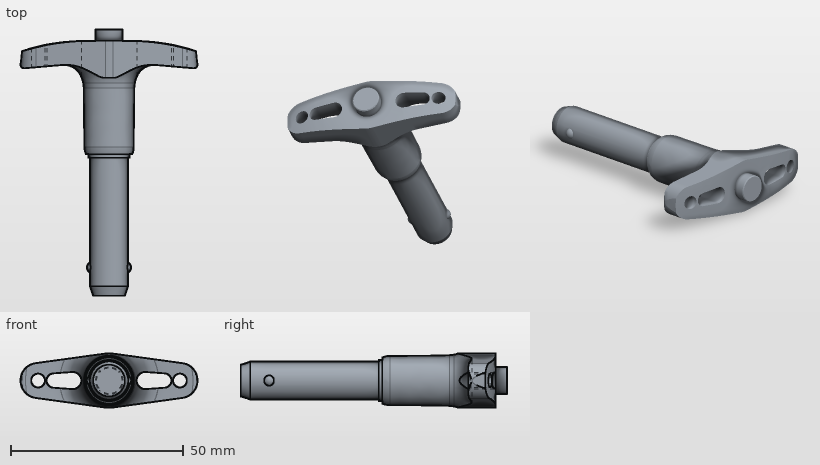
import cadquery as cq
import math


button_top = 37.3
button_radius = 3.97
button_chamfer = 0.25

handle_top = 33.9
hub_radius = 7.94
tip_radius = 5.13
tip_offset = 20.595
tip_reach = tip_offset + tip_radius
crown_flat_radius = 7.3
crown_rim_radius = 25.3
crown_rim_y = 30.9
underside_rim_radius = 24.3
underside_rim_y = 25.95
rim_round_y = 27.0
rim_mid_radius = 25.35
rim_mid_y = 26.2
flare_outer_radius = 14.35
flare_outer_y = 26.9
flare_mid_radius = 9.25
flare_mid_y = 25.1

slot_inner_offset = 10.5
slot_inner_radius = 2.45
slot_outer_offset = 16.05
slot_outer_radius = 2.05
lanyard_hole_radius = 1.98

flare_y = 21.75
flare_radius = 7.55
neck_y = 20.35
grip_top_radius = 7.38
grip_bottom_y = 3.1
grip_bottom_radius = 7.2
collar_bottom_y = 1.0
collar_bottom_radius = 6.75
collar_mid_y = 1.95
collar_mid_radius = 7.08
ring_radius = 6.0

shank_radius = 5.56
shank_end_y = -40.17
nose_y = -37.3
nose_radius = 4.6
ball_y = -31.9
ball_radius = 1.59
ball_offset = 4.85


def tapered_link(x_a, radius_a, x_b, radius_b):
    """Closed outline (in XZ) of two circles on the X axis joined by their outer tangents."""
    lean = (radius_a - radius_b) / (x_b - x_a)
    rise = math.sqrt(1 - lean**2)
    return (
        cq.Workplane("XZ")
        .moveTo(x_a + radius_a * lean, radius_a * rise)
        .lineTo(x_b + radius_b * lean, radius_b * rise)
        .threePointArc((x_b + radius_b, 0), (x_b + radius_b * lean, -radius_b * rise))
        .lineTo(x_a + radius_a * lean, -radius_a * rise)
        .threePointArc((x_a - radius_a, 0), (x_a + radius_a * lean, radius_a * rise))
        .close()
    )


def both_sides(body):
    """The body together with its mirror image across the YZ plane."""
    return body.union(body.mirror("YZ"))


def make_handle():
    """Turned disc with a flared neck, trimmed to the T-bar outline."""
    crown_span = crown_rim_radius - crown_flat_radius
    crown_drop = handle_top - crown_rim_y
    crown_arc_radius = (crown_span**2 + crown_drop**2) / (2 * crown_drop)
    crown_mid_radius = crown_flat_radius + crown_span / 2
    crown_mid_y = handle_top - crown_arc_radius + math.sqrt(crown_arc_radius**2 - (crown_span / 2) ** 2)
    disc = (
        cq.Workplane("XY")
        .moveTo(0, flare_y)
        .lineTo(flare_radius, flare_y)
        .threePointArc((flare_mid_radius, flare_mid_y), (flare_outer_radius, flare_outer_y))
        .lineTo(underside_rim_radius, underside_rim_y)
        .threePointArc((rim_mid_radius, rim_mid_y), (tip_reach, rim_round_y))
        .lineTo(crown_rim_radius, crown_rim_y)
        .threePointArc((crown_mid_radius, crown_mid_y), (crown_flat_radius, handle_top))
        .lineTo(0, handle_top)
        .close()
        .revolve(360, (0, 0), (0, 1))
    )
    half = tapered_link(0, hub_radius, tip_offset, tip_radius).extrude(-handle_top)
    return disc.intersect(both_sides(half))


def make_grip_and_shank():
    """Tapered grip, rounded collar, seat ring and chamfered shank, turned in one piece."""
    return (
        cq.Workplane("XY")
        .moveTo(0, shank_end_y)
        .lineTo(nose_radius, shank_end_y)
        .lineTo(shank_radius, nose_y)
        .lineTo(shank_radius, 0)
        .lineTo(ring_radius, 0)
        .lineTo(ring_radius, collar_bottom_y)
        .lineTo(collar_bottom_radius, collar_bottom_y)
        .threePointArc((collar_mid_radius, collar_mid_y), (grip_bottom_radius, grip_bottom_y))
        .lineTo(grip_top_radius, neck_y)
        .lineTo(flare_radius, flare_y)
        .lineTo(0, flare_y)
        .close()
        .revolve(360, (0, 0), (0, 1))
    )


def make_button():
    """Release button standing on top of the handle."""
    height = button_top - handle_top
    button = cq.Workplane("XZ", origin=(0, handle_top, 0)).circle(button_radius).extrude(-height)
    return button.faces(">Y").chamfer(button_chamfer)


def make_openings():
    """Finger slots and lanyard holes, through the handle on both sides."""
    slot = tapered_link(slot_inner_offset, slot_inner_radius, slot_outer_offset, slot_outer_radius)
    hole = cq.Workplane("XZ").center(tip_offset, 0).circle(lanyard_hole_radius)
    return both_sides(slot.extrude(-handle_top).union(hole.extrude(-handle_top)))


def make_balls():
    """Locking balls standing out of the shank on both sides."""
    return both_sides(cq.Workplane("XY").sphere(ball_radius).translate((ball_offset, ball_y, 0)))


handle = make_handle().cut(make_openings())
result = handle.union(make_grip_and_shank()).union(make_button()).union(make_balls())